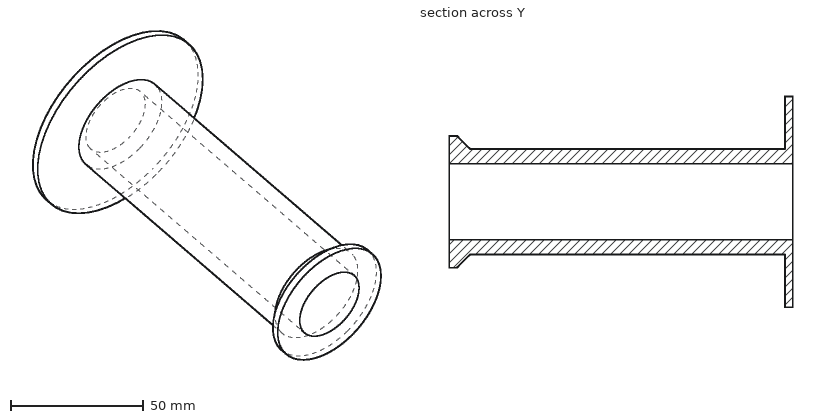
import cadquery as cq

total_length = 130.0
flange_diameter = 80.0
flange_thickness = 3.0
tube_diameter = 40.0
collar_diameter = 50.0
collar_rim_width = 3.0
bore_diameter = 28.7

flange_radius = flange_diameter / 2
tube_radius = tube_diameter / 2
collar_radius = collar_diameter / 2
bore_radius = bore_diameter / 2

cone_length = collar_radius - tube_radius
rim_start = total_length - collar_rim_width
cone_start = rim_start - cone_length

half_section = (
    cq.Workplane("XY")
    .moveTo(0, bore_radius)
    .lineTo(0, flange_radius)
    .lineTo(flange_thickness, flange_radius)
    .lineTo(flange_thickness, tube_radius)
    .lineTo(cone_start, tube_radius)
    .lineTo(rim_start, collar_radius)
    .lineTo(total_length, collar_radius)
    .lineTo(total_length, bore_radius)
    .close()
)

result = half_section.revolve(360, (0, 0, 0), (1, 0, 0))